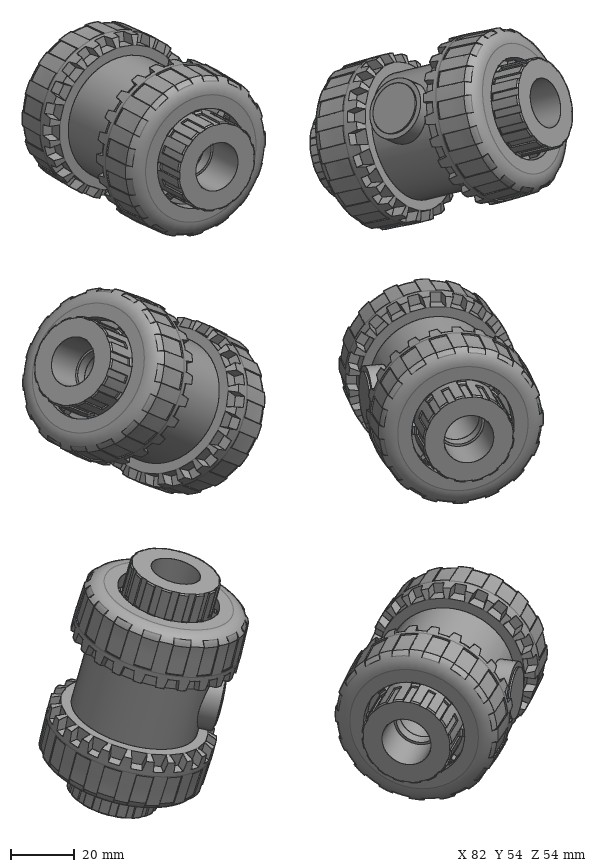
import cadquery as cq
import math

overall_length = 82.0
nut_outer_x = 32.0
nut_inner_x = 12.0
lip_thickness = 5.0
flange_thickness = 4.0

connector_end_x = overall_length / 2
flange_outer_x = nut_outer_x - lip_thickness
body_end_x = flange_outer_x - flange_thickness

body_diameter = 41.1
flow_bore_diameter = 14.5
socket_diameter = 16.0
socket_depth = 14.0

boss_diameter = 20.0
boss_top_y = 24.1
plug_diameter = 16.6
plug_top_y = 24.7
plug_bottom_y = 15.0

nut_radius = 27.0
nut_bore_diameter = 33.0
nut_face_radius = 21.0
shoulder_radius = 26.6
shoulder_x = 29.0
shoulder_arc_x = 31.0
shoulder_arc_radius = 24.5
band_x = 18.2
tooth_root_radius = 23.8
tooth_chamfer_x = 13.2

grip_count = 16
grip_width = 5.7
grip_inner_x = 18.6
grip_inner_radius = 26.5
grip_kink_x = 28.5
grip_kink_radius = 26.2
grip_arc_x = 29.65
grip_arc_radius = 25.73
grip_outer_x = 30.6
grip_outer_radius = 25.1

notch_count = 23
notch_root_x = 16.7
notch_root_width = 3.6
notch_mouth_width = 5.1
notch_wall_slope = 0.45

flange_diameter = 36.8
spline_radius = 14.7
spline_chamfer = 0.45
groove_count = 16
groove_floor_radius = 14.1
groove_floor_width = 2.3
groove_top_width = 2.6
lug_count = 8
lug_width = 2.75
lug_length = 3.9
lug_step_radius = 15.3
lug_ledge_radius = 15.8
lug_radius = 16.4

clearance = 5.0


def revolve_about_x(profile):
    """Turn a closed XY profile a full circle about the X axis."""
    return profile.close().revolve(360, (0, 0, 0), (1, 0, 0))


def cylinder_x(diameter, start_x, end_x):
    return cq.Workplane("YZ", origin=(start_x, 0, 0)).circle(diameter / 2).extrude(end_x - start_x)


def cylinder_y(diameter, start_y, end_y):
    return cq.Workplane("XZ", origin=(0, start_y, 0)).circle(diameter / 2).extrude(start_y - end_y)


def cut_around(part, cutter, count, first_angle):
    """Cut copies of a tool spread evenly about the X axis."""
    for i in range(count):
        angle = first_angle + i * 360 / count
        part = part.cut(cutter.rotate((0, 0, 0), (1, 0, 0), angle))
    return part


def make_body():
    body = cylinder_x(body_diameter, -body_end_x, body_end_x)
    body = body.union(cylinder_y(boss_diameter, 0, boss_top_y))
    body = body.cut(cylinder_x(flow_bore_diameter, -body_end_x, body_end_x))
    return body.cut(cylinder_y(plug_diameter, plug_bottom_y, boss_top_y))


def make_plug():
    return cylinder_y(plug_diameter, plug_bottom_y, plug_top_y)


def make_nut():
    """Union nut on the +X side."""
    nut = revolve_about_x(
        cq.Workplane("XY")
        .moveTo(nut_inner_x, 0)
        .lineTo(nut_inner_x, tooth_root_radius)
        .lineTo(tooth_chamfer_x, nut_radius)
        .lineTo(band_x, nut_radius)
        .lineTo(shoulder_x, shoulder_radius)
        .threePointArc((shoulder_arc_x, shoulder_arc_radius), (nut_outer_x, nut_face_radius))
        .lineTo(nut_outer_x, 0)
    )
    nut = nut.cut(cylinder_x(nut_bore_diameter, nut_inner_x, nut_outer_x))
    nut = nut.cut(cylinder_x(flange_diameter, nut_inner_x, flange_outer_x))
    nut = nut.cut(cylinder_x(body_diameter, nut_inner_x, body_end_x))

    outside_radius = nut_radius + clearance
    grip = revolve_about_x(
        cq.Workplane("XY")
        .moveTo(grip_inner_x, grip_inner_radius)
        .lineTo(grip_kink_x, grip_kink_radius)
        .threePointArc((grip_arc_x, grip_arc_radius), (grip_outer_x, grip_outer_radius))
        .lineTo(grip_outer_x, outside_radius)
        .lineTo(grip_inner_x, outside_radius)
    )
    grip_slice = cq.Workplane("XY").box(
        2 * nut_outer_x, grip_width, outside_radius, centered=(True, True, False)
    )
    nut = cut_around(nut, grip.intersect(grip_slice), grip_count, 180 / grip_count)

    notch_side = (
        cq.Workplane("XY")
        .moveTo(nut_inner_x, tooth_root_radius)
        .lineTo(notch_root_x - notch_wall_slope, tooth_root_radius)
        .lineTo(notch_root_x, nut_radius)
        .lineTo(notch_root_x, nut_radius + clearance)
        .lineTo(nut_inner_x, nut_radius + clearance)
        .close()
        .extrude(notch_mouth_width, both=True)
    )
    notch_plan = (
        cq.Workplane("XZ", origin=(0, tooth_root_radius, 0))
        .moveTo(notch_root_x, -notch_root_width / 2)
        .lineTo(nut_inner_x, -notch_mouth_width / 2)
        .lineTo(nut_inner_x, notch_mouth_width / 2)
        .lineTo(notch_root_x, notch_root_width / 2)
        .close()
        .extrude(-clearance)
    )
    notch = notch_side.intersect(notch_plan)
    return cut_around(nut, notch, notch_count, 0)


def make_connector():
    """Splined end connector on the +X side."""
    lug_end_x = flange_outer_x + lug_length
    connector = cylinder_x(2 * spline_radius, flange_outer_x, connector_end_x)
    connector = connector.faces(">X").chamfer(spline_chamfer)
    groove_top = spline_radius + clearance
    flare = (groove_top_width - groove_floor_width) / (spline_radius - groove_floor_radius)
    groove_outer_width = groove_floor_width + flare * (groove_top - groove_floor_radius)
    groove = (
        cq.Workplane("YZ", origin=(lug_end_x, 0, 0))
        .moveTo(-groove_floor_width / 2, groove_floor_radius)
        .lineTo(groove_floor_width / 2, groove_floor_radius)
        .lineTo(groove_outer_width / 2, groove_top)
        .lineTo(-groove_outer_width / 2, groove_top)
        .close()
        .extrude(connector_end_x - lug_end_x)
    )
    connector = cut_around(connector, groove, groove_count, 0)
    connector = connector.union(cylinder_x(flange_diameter, body_end_x, flange_outer_x))

    ledge_x = lug_end_x - (lug_step_radius - spline_radius)
    lug_ring = revolve_about_x(
        cq.Workplane("XY")
        .moveTo(flange_outer_x, 0)
        .lineTo(lug_end_x, 0)
        .lineTo(lug_end_x, spline_radius)
        .lineTo(ledge_x, lug_step_radius)
        .lineTo(ledge_x, lug_ledge_radius)
        .lineTo(ledge_x - (lug_radius - lug_ledge_radius), lug_radius)
        .lineTo(flange_outer_x, lug_radius)
    )
    lug_slice = cq.Workplane("XY").box(
        2 * connector_end_x, lug_width, nut_radius, centered=(True, True, False)
    )
    lug = lug_ring.intersect(lug_slice)
    for i in range(lug_count):
        connector = connector.union(lug.rotate((0, 0, 0), (1, 0, 0), i * 360 / lug_count))

    connector = connector.cut(cylinder_x(flow_bore_diameter, body_end_x, connector_end_x))
    return connector.cut(cylinder_x(socket_diameter, connector_end_x - socket_depth, connector_end_x))


body = make_body()
plug = make_plug()
solids = [body.val(), plug.val()]
for side_part in (make_nut(), make_connector()):
    solids.append(side_part.val())
    solids.append(side_part.rotate((0, 0, 0), (0, 0, 1), 180).val())

result = cq.Compound.makeCompound(solids)